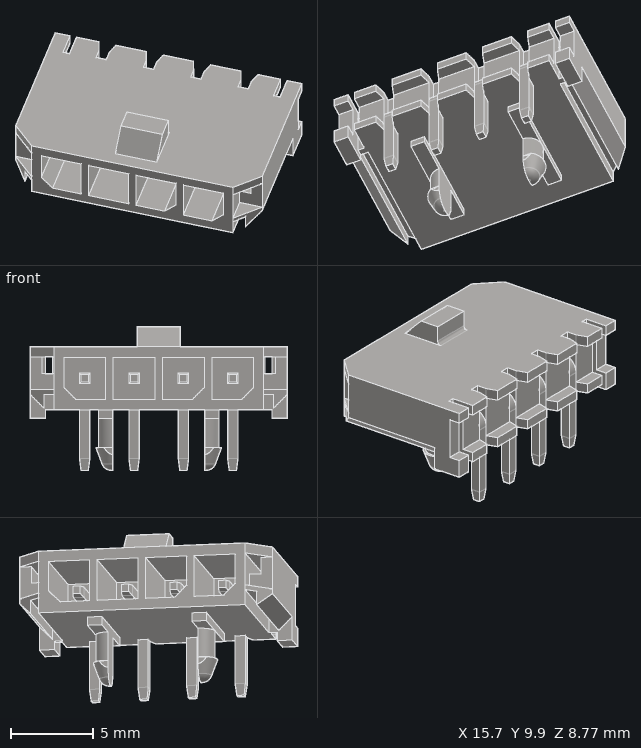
import cadquery as cq
import math


WIDTH = 15.65
LENGTH = 9.9
HEIGHT = 3.85
HALF_WIDTH = WIDTH / 2
CORNER_CHAMFER = 1.44
SHOULDER_X = HALF_WIDTH - CORNER_CHAMFER

PIN_COUNT = 4
PITCH = 3.0
PIN_SIZE = 0.64
ROW_Z = 1.91
PIN_CENTRES = [(i - (PIN_COUNT - 1) / 2) * PITCH for i in range(PIN_COUNT)]

SOCKET_SIZE = 2.54
SOCKET_DEPTH = 6.57
SOCKET_KEY = 0.72
SOCKET_KEY_SIDES = [-1, 0, 1, 1]

REAR_RECESS = 0.72
REAR_WALL_Y = LENGTH - REAR_RECESS
OVERHANG_THICKNESS = 0.65
LEDGE_TOP_Z = 0.63
FOOT_WIDTH = 0.94
FOOT_LENGTH = 1.9
FOOT_FRONT_Y = LENGTH - FOOT_LENGTH
STANDOFF = 0.52
SLOT_WIDTH = 0.4
SLOT_LENGTH = 1.5
NOTCH_MOUTH = 1.08

BAY_FLOOR_Z = 1.24
BAY_ROOF_Z = 3.22
TUNNEL_WIDTH = 0.72
TUNNEL_FLOOR_Z = 2.2
EDGE_BEVEL = 0.83
GROOVE_DEPTH = 0.94

LATCH_WIDTH = 2.63
LATCH_HEIGHT = 1.22
LATCH_FRONT_Y = 0.8
LATCH_REAR_Y = 3.29
LATCH_FILLET = 0.23

PEG_FACE_X = 2.79
PEG_RADIUS = 0.89
PEG_Y = 4.6
RIB_FRONT_Y = 1.69
RIB_REAR_Y = 7.72
BARB_Z = -2.3
BARB_RADIUS = 1.05
BARB_ANGLE = 20.5
NOSE_FILLET = 0.63

TAIL_END_Z = -3.7
PIN_FRONT_Y = 2.5
PIN_BEND_RADIUS = 0.31
PIN_TIP_LENGTH = 0.72
PIN_TIP_SIZE = 0.45


def block(x0, x1, y0, y1, z0, z1):
    """Box between two opposite corners."""
    return cq.Workplane("XY").box(x1 - x0, y1 - y0, z1 - z0, centered=False).translate((x0, y0, z0))


def both_sides(shape):
    """The shape on the -X side together with its mirror image on the +X side."""
    return shape.union(shape.mirror("YZ"))


def shell():
    """Outer block with the two vertical corners beside the mating face cut off."""
    body = block(-HALF_WIDTH, HALF_WIDTH, 0, LENGTH, 0, HEIGHT)
    return body.faces("<Y").edges("|Z").chamfer(CORNER_CHAMFER)


def feet():
    foot = block(-HALF_WIDTH, FOOT_WIDTH - HALF_WIDTH, FOOT_FRONT_Y, LENGTH, -STANDOFF, LEDGE_TOP_Z)
    return both_sides(foot)


def latch():
    profile = (
        cq.Workplane("YZ", origin=(-LATCH_WIDTH / 2, 0, HEIGHT))
        .moveTo(LATCH_FRONT_Y, 0)
        .lineTo(LATCH_FRONT_Y + LATCH_HEIGHT, LATCH_HEIGHT)
        .lineTo(LATCH_REAR_Y, LATCH_HEIGHT)
        .lineTo(LATCH_REAR_Y, LATCH_FILLET)
        .radiusArc((LATCH_REAR_Y + LATCH_FILLET, 0), -LATCH_FILLET)
        .close()
    )
    return profile.extrude(LATCH_WIDTH)


def ribs():
    rib = block(-PEG_FACE_X - PEG_RADIUS, -PEG_FACE_X, RIB_FRONT_Y, RIB_REAR_Y, -STANDOFF, 0)
    return both_sides(rib)


def pegs():
    """Half-round pegs whose barbs flare outward and end in a nose rounded tangent to the cone."""
    angle = math.radians(BARB_ANGLE)
    mid_angle = (angle + math.pi / 2) / 2
    nose_z = TAIL_END_Z + NOSE_FILLET
    tangent_z = nose_z - NOSE_FILLET * math.sin(angle)
    tangent_radius = BARB_RADIUS - (BARB_Z - tangent_z) * math.tan(angle)
    flat_radius = tangent_radius - NOSE_FILLET * math.cos(angle)
    arc_middle = (
        flat_radius + NOSE_FILLET * math.cos(mid_angle),
        nose_z - NOSE_FILLET * math.sin(mid_angle),
    )
    turned = (
        cq.Workplane("XZ")
        .moveTo(0, -STANDOFF)
        .lineTo(PEG_RADIUS, -STANDOFF)
        .lineTo(PEG_RADIUS, BARB_Z)
        .lineTo(BARB_RADIUS, BARB_Z)
        .lineTo(tangent_radius, tangent_z)
        .threePointArc(arc_middle, (flat_radius, TAIL_END_Z))
        .lineTo(0, TAIL_END_Z)
        .close()
        .revolve(360, (0, 0), (0, 1))
    )
    envelope = block(-BARB_RADIUS, 0, -PEG_RADIUS, PEG_RADIUS, TAIL_END_Z, -STANDOFF)
    return both_sides(turned.intersect(envelope).translate((-PEG_FACE_X, PEG_Y, 0)))


def socket(x, key_side):
    half = SOCKET_SIZE / 2
    cavity = block(x - half, x + half, 0, SOCKET_DEPTH, ROW_Z - half, ROW_Z + half)
    if key_side:
        side = ">X" if key_side > 0 else "<X"
        cavity = cavity.faces(side).edges("<Z").chamfer(SOCKET_KEY)
    return cavity


def pin_notch(x):
    """Full-height channel behind a pin that flares towards the rear edge."""
    half = PIN_SIZE / 2
    front_y = REAR_WALL_Y - PIN_SIZE
    outline = [
        (x - half, front_y),
        (x + half, front_y),
        (x + half, REAR_WALL_Y),
        (x + NOTCH_MOUTH / 2, LENGTH),
        (x - NOTCH_MOUTH / 2, LENGTH),
        (x - half, REAR_WALL_Y),
    ]
    return cq.Workplane("XY").polyline(outline).close().extrude(HEIGHT)


def rear_recess():
    """Open space between the roof overhang and the lower ledge."""
    return block(-HALF_WIDTH, HALF_WIDTH, REAR_WALL_Y, LENGTH, LEDGE_TOP_Z, HEIGHT - OVERHANG_THICKNESS)


def side_slots():
    outer_x = FOOT_WIDTH - HALF_WIDTH
    return both_sides(block(outer_x, outer_x + SLOT_WIDTH, LENGTH - SLOT_LENGTH, LENGTH, 0, HEIGHT))


def corner_bays():
    """Pockets under the cut corners, each with a tunnel that leads back to the side slot."""
    bay = block(-HALF_WIDTH, -SHOULDER_X, 0, CORNER_CHAMFER, BAY_FLOOR_Z, BAY_ROOF_Z)
    tunnel = block(
        -SHOULDER_X - TUNNEL_WIDTH, -SHOULDER_X, 0, LENGTH - SLOT_LENGTH, TUNNEL_FLOOR_Z, BAY_ROOF_Z
    )
    return both_sides(bay.union(tunnel))


def lower_edge_cuts():
    """Bevel under each side wall and the groove beside it, both ending at the foot."""
    inner_x = EDGE_BEVEL - HALF_WIDTH
    lip_z = GROOVE_DEPTH - EDGE_BEVEL
    outline = [
        (-HALF_WIDTH, 0),
        (-HALF_WIDTH, GROOVE_DEPTH),
        (inner_x, lip_z),
        (inner_x, GROOVE_DEPTH),
        (-SHOULDER_X, GROOVE_DEPTH),
        (-SHOULDER_X, 0),
    ]
    cut = cq.Workplane("XZ").polyline(outline).close().extrude(-FOOT_FRONT_Y)
    return both_sides(cut)


def tapered_end(pin, selector):
    """Lengthen the pin at the selected end face with a four-sided taper."""
    face = pin.faces(selector).workplane(centerOption="CenterOfMass")
    return (
        face.rect(PIN_SIZE, PIN_SIZE)
        .workplane(offset=PIN_TIP_LENGTH)
        .rect(PIN_TIP_SIZE, PIN_TIP_SIZE)
        .loft(ruled=True, combine=True)
    )


def make_pin(x):
    """Square pin from the socket through the rear wall, bent down to the board."""
    half = PIN_SIZE / 2
    bend = PIN_BEND_RADIUS + half
    tail_y = REAR_WALL_Y - half
    start_y = PIN_FRONT_Y + PIN_TIP_LENGTH
    path = (
        cq.Workplane("YZ", origin=(x, 0, 0))
        .moveTo(start_y, ROW_Z)
        .lineTo(tail_y - bend, ROW_Z)
        .radiusArc((tail_y, ROW_Z - bend), bend)
        .lineTo(tail_y, TAIL_END_Z + PIN_TIP_LENGTH)
    )
    pin = cq.Workplane("XZ", origin=(x, start_y, ROW_Z)).rect(PIN_SIZE, PIN_SIZE).sweep(path)
    return tapered_end(tapered_end(pin, "<Y"), "<Z")


def make_housing(pins):
    body = shell().cut(lower_edge_cuts()).cut(corner_bays())
    body = body.union(feet()).union(latch()).union(ribs()).union(pegs())
    body = body.cut(rear_recess()).cut(side_slots())
    for x, key_side in zip(PIN_CENTRES, SOCKET_KEY_SIDES):
        body = body.cut(socket(x, key_side)).cut(pin_notch(x))
    for pin in pins:
        body = body.cut(pin)
    return body


pins = [make_pin(x) for x in PIN_CENTRES]
housing = make_housing(pins)

result = cq.Compound.makeCompound([housing.val(), *[pin.val() for pin in pins]])